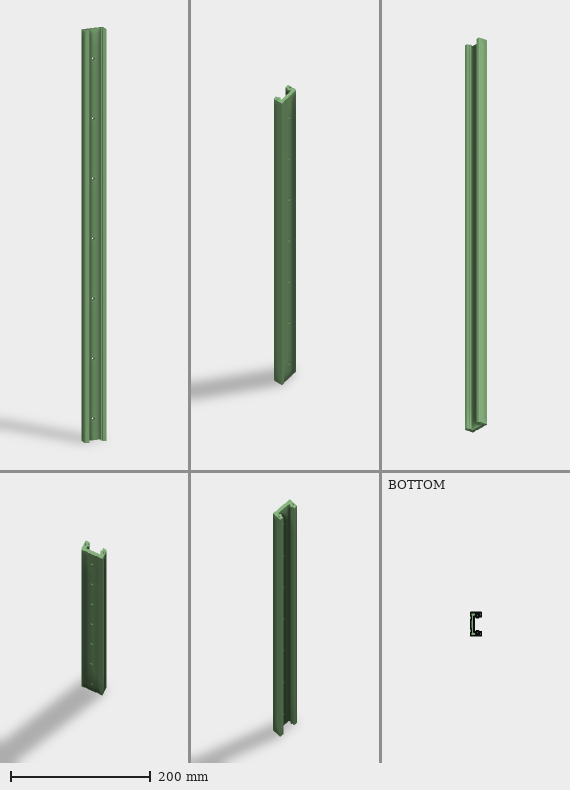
import cadquery as cq
import math

LENGTH = 609.6
DEPTH = 15.24
WIDTH = 33.68

BACK = -DEPTH / 2
FRONT = DEPTH / 2
HALF_WIDTH = WIDTH / 2
BOTTOM = -LENGTH / 2

WEB_FRONT = -2.5
ARM_INNER = 10.8
CORNER_RADIUS = 1.16

RELIEF_DEPTH = 0.5
RELIEF_INNER = 5.55
RELIEF_OUTER = 12.15
INNER_SLOPE_ANGLE = 22.5

SIDE_GROOVE_X = -0.9
SIDE_GROOVE_WIDTH = 1.6
SIDE_GROOVE_DEPTH = 0.3

RAIL_X = 2.1
STEM_WIDTH = 3.4
HEAD_WIDTH = 4.9
HEAD_INNER = 12.1
HEAD_OUTER = 13.9
NOSE_TIP = ARM_INNER - STEM_WIDTH / 2

CLEARANCE_WIDTH = 3.8
CLEARANCE_OUTER = 14.9

HOLE_DIAMETER = 4.8
HOLE_COUNT = 7
HOLE_PITCH = 88.9
FIRST_HOLE_HEIGHT = 31.75


def bar(outline):
    """Extrude a closed XY outline over the full length."""
    return cq.Workplane("XY", origin=(0, 0, BOTTOM)).polyline(outline).close().extrude(LENGTH)


def block(x_min, x_max, y_min, y_max):
    """Full-length bar of rectangular section."""
    return bar([(x_min, y_min), (x_max, y_min), (x_max, y_max), (x_min, y_max)])


def round_outer_corners(body):
    """Round the four full-length outer edges."""
    for x in (BACK, FRONT):
        for y in (-HALF_WIDTH, HALF_WIDTH):
            edge = cq.selectors.NearestToPointSelector((x, y, 0))
            body = body.edges(edge).fillet(CORNER_RADIUS)
    return body


def relief_groove(side):
    """Groove in the back: gentle inner slope, flat floor, 45 degree outer slope."""
    floor = BACK + RELIEF_DEPTH
    inner_run = RELIEF_DEPTH / math.tan(math.radians(INNER_SLOPE_ANGLE))
    outline = [
        (BACK, RELIEF_INNER),
        (floor, RELIEF_INNER + inner_run),
        (floor, RELIEF_OUTER - RELIEF_DEPTH),
        (BACK, RELIEF_OUTER),
    ]
    return bar([(x, side * y) for x, y in outline])


def track_rail(side):
    """Rail with a round nose pointing to the middle of the channel and a T-shaped head."""
    half_stem = STEM_WIDTH / 2
    half_head = HEAD_WIDTH / 2
    return (
        cq.Workplane("XY", origin=(RAIL_X, 0, BOTTOM))
        .moveTo(-half_stem, side * ARM_INNER)
        .threePointArc((0, side * NOSE_TIP), (half_stem, side * ARM_INNER))
        .lineTo(half_stem, side * HEAD_INNER)
        .lineTo(half_head, side * HEAD_INNER)
        .lineTo(half_head, side * HEAD_OUTER)
        .lineTo(-half_head, side * HEAD_OUTER)
        .lineTo(-half_head, side * HEAD_INNER)
        .lineTo(-half_stem, side * HEAD_INNER)
        .close()
        .extrude(LENGTH)
    )


def side_groove(side):
    """Shallow rectangular groove in the outer face of one arm."""
    half = SIDE_GROOVE_WIDTH / 2
    floor = HALF_WIDTH - SIDE_GROOVE_DEPTH
    return block(SIDE_GROOVE_X - half, SIDE_GROOVE_X + half, side * floor, side * HALF_WIDTH)


def clearance_slot(side):
    """Empty slot in the arm behind the rail head."""
    half = CLEARANCE_WIDTH / 2
    return block(RAIL_X - half, RAIL_X + half, side * HEAD_OUTER, side * CLEARANCE_OUTER)


def mounting_holes():
    """Row of round holes through the web, along its centre line."""
    first = BOTTOM + FIRST_HOLE_HEIGHT
    centres = [(0, first + i * HOLE_PITCH) for i in range(HOLE_COUNT)]
    web_thickness = WEB_FRONT - BACK
    return (
        cq.Workplane("YZ", origin=(BACK, 0, 0))
        .pushPoints(centres)
        .circle(HOLE_DIAMETER / 2)
        .extrude(web_thickness)
    )


rails = [track_rail(side) for side in (1, -1)]

channel = block(BACK, FRONT, -HALF_WIDTH, HALF_WIDTH)
channel = channel.cut(block(WEB_FRONT, FRONT, -ARM_INNER, ARM_INNER))
channel = round_outer_corners(channel)
for side in (1, -1):
    channel = channel.cut(relief_groove(side))
    channel = channel.cut(side_groove(side))
    channel = channel.cut(clearance_slot(side))
for rail in rails:
    channel = channel.cut(rail)
channel = channel.cut(mounting_holes())

result = cq.Compound.makeCompound([channel.val(), *[rail.val() for rail in rails]])